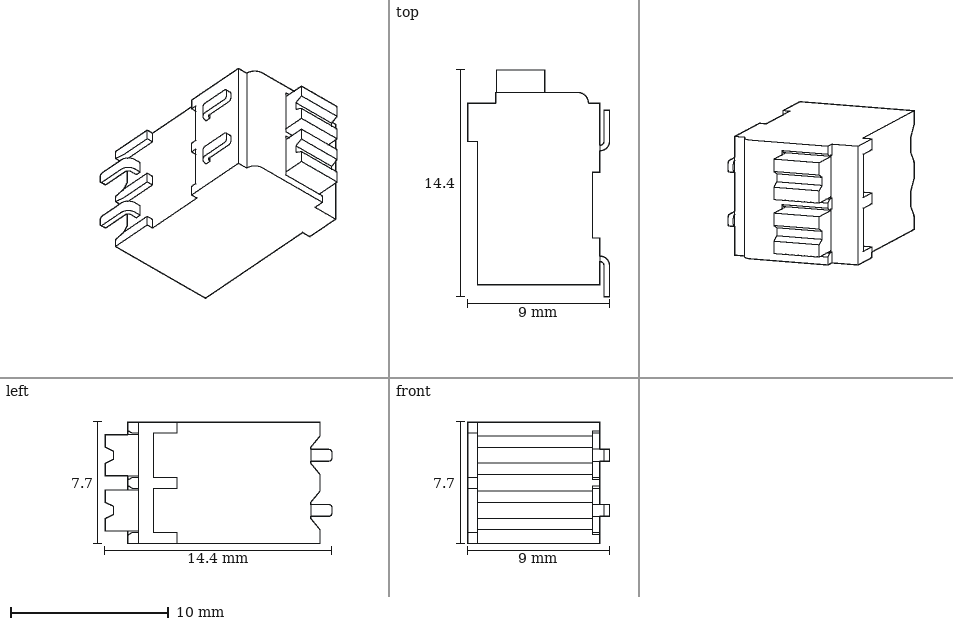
import cadquery as cq

height = 7.7
pole_pitch = 3.5
pole_heights = (-pole_pitch / 2, pole_pitch / 2)
cell_height = 2.79

body_left = 0.62
body_right = 8.38
body_length = 11.5
flange_finger_start = 9.07
flange_plate_start = 10.54

tongue_left = 1.78
tongue_right = 7.66
tongue_length = 0.69
tongue_end = body_length + tongue_length
tongue_slot_flare_length = 0.3
tongue_slot_flare = 0.19

lever_left = 1.83
lever_right = 4.9
lever_height = 2.62
lever_end = 13.62
lever_notch_depth = 0.52
lever_notch_mouth = 1.02
lever_notch_floor = 0.52

groove_depth = 0.59
groove_mouth = 2.43
groove_floor = 1.0

channel_bottom = 7.92
recess_start = 2.98
recess_end = 7.12
channel_mouth = 3.08
channel_flare_length = 0.78
channel_end = 7.48
channel_end_draft = 0.03

pin_thickness = 0.36
pin_width = 0.76
pin_bend_outer = 0.62
pin_bend_inner = pin_bend_outer - pin_thickness
pin_length = 2.59
pin_end_fillet = 0.22
pin_root = 7.19
lower_pin_bend = 1.83
upper_pin_bend = 8.48


def block(x_start, x_end, y_start, y_end, z_size, z_center=0):
    """Box given by its X and Y limits, centred in Z on z_center."""
    return (
        cq.Workplane("XY", origin=(0, 0, z_center))
        .moveTo(x_start, y_start)
        .lineTo(x_end, y_start)
        .lineTo(x_end, y_end)
        .lineTo(x_start, y_end)
        .close()
        .extrude(z_size / 2, both=True)
    )


def tapered_slot(x_start, x_end, y_open, y_narrow, open_size, narrow_size, z_center):
    """Slot along X whose Z size shrinks from y_open to y_narrow."""
    return (
        cq.Workplane("YZ", origin=(x_start, 0, z_center))
        .moveTo(y_open, -open_size / 2)
        .lineTo(y_narrow, -narrow_size / 2)
        .lineTo(y_narrow, narrow_size / 2)
        .lineTo(y_open, open_size / 2)
        .close()
        .extrude(x_end - x_start)
    )


def make_housing():
    """Body with the flange fingers and the rounded tongue."""
    body = block(body_left, body_right, 0, body_length, height)
    flange = block(0, body_left, flange_finger_start, body_length, height)
    tongue = block(tongue_left, tongue_right, body_length, tongue_end, height)
    corner = (
        cq.Workplane("XY", origin=(0, 0, -height / 2))
        .moveTo(tongue_right, body_length)
        .radiusArc((tongue_right - tongue_length, tongue_end), -tongue_length)
        .lineTo(tongue_right, tongue_end)
        .close()
        .extrude(height)
    )
    return body.union(flange).union(tongue.cut(corner))


def make_channel(z_center):
    """Cutter for the straight pin channel, ending in a slightly drafted face."""
    return (
        cq.Workplane("XY", origin=(0, 0, z_center))
        .moveTo(channel_bottom, 0)
        .lineTo(body_right, 0)
        .lineTo(body_right, channel_end + channel_end_draft)
        .lineTo(channel_bottom, channel_end)
        .close()
        .extrude(cell_height / 2, both=True)
    )


def cut_pole(housing, z_center):
    """Flange window, wire groove, pin channel and lever slot of one pole."""
    window = block(0, body_left, flange_finger_start, flange_plate_start, cell_height, z_center)
    groove = tapered_slot(
        body_left, body_right, 0, groove_depth, groove_mouth, groove_floor, z_center
    )
    channel = make_channel(z_center)
    channel_flare = tapered_slot(
        channel_bottom, body_right, 0, channel_flare_length, channel_mouth, cell_height, z_center
    )
    slot = block(tongue_left, lever_right, body_length, tongue_end, cell_height, z_center)
    slot_flare = tapered_slot(
        tongue_left, lever_right,
        tongue_end, tongue_end - tongue_slot_flare_length,
        cell_height + 2 * tongue_slot_flare, cell_height, z_center,
    )
    for cutter in (window, groove, channel, channel_flare, slot, slot_flare):
        housing = housing.cut(cutter)
    return housing


def make_lever(z_center):
    """Lever with a tapered notch across its free end."""
    lever = block(lever_left, lever_right, body_length, lever_end, lever_height, z_center)
    notch = tapered_slot(
        lever_left, lever_right, lever_end, lever_end - lever_notch_depth,
        lever_notch_mouth, lever_notch_floor, z_center,
    )
    return lever.cut(notch)


def make_pin(z_center, bend_y, direction):
    """Bent pin leaving the +X side and turning toward direction (+1 or -1) along Y."""
    arc_sign = -direction
    inner_x = body_right + pin_bend_inner
    outer_x = body_right + pin_bend_outer
    arc_y = bend_y + direction * pin_bend_outer
    lead_y = bend_y + direction * pin_thickness
    tip_y = bend_y + direction * pin_length
    pin = (
        cq.Workplane("XY", origin=(0, 0, z_center))
        .moveTo(pin_root, bend_y)
        .lineTo(body_right, bend_y)
        .radiusArc((outer_x, arc_y), arc_sign * pin_bend_outer)
        .lineTo(outer_x, tip_y)
        .lineTo(inner_x, tip_y)
        .lineTo(inner_x, arc_y)
        .radiusArc((body_right, lead_y), -arc_sign * pin_bend_inner)
        .lineTo(pin_root, lead_y)
        .close()
        .extrude(pin_width / 2, both=True)
    )
    tip_face = ">Y" if direction > 0 else "<Y"
    return pin.faces(tip_face).edges("|X").fillet(pin_end_fillet)


result = make_housing().cut(
    block(channel_bottom, body_right, recess_start, recess_end, height)
)
for pole_z in pole_heights:
    result = cut_pole(result, pole_z)
for pole_z in pole_heights:
    result = result.union(make_lever(pole_z))
    result = result.union(make_pin(pole_z, lower_pin_bend, -1))
    result = result.union(make_pin(pole_z, upper_pin_bend, 1))